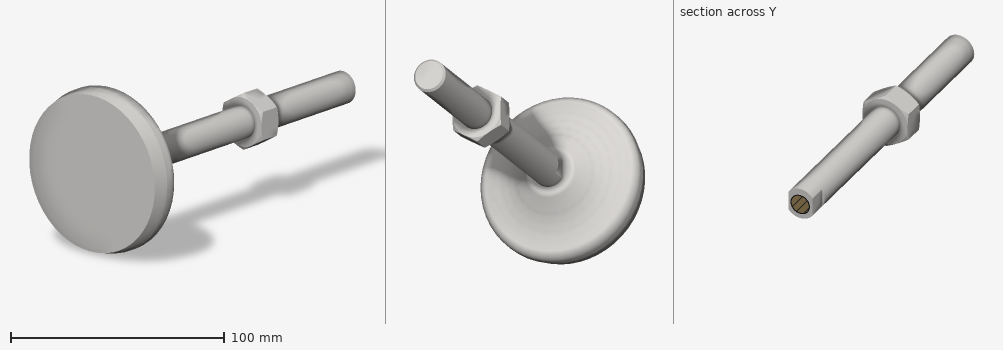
import cadquery as cq
import math

total_length = 185.0
pad_bottom = -total_length / 2

pad_radius = 40.0
pad_bottom_radius = 38.3
taper_height = 7.2
band_height = 10.7
rim_round = 4.3
flare_mid_radius = 19.8
flare_mid_height = 19.2
hub_radius = 12.4
hub_edge_height = 24.2
hub_height = 24.8
hub_top_radius = 10.5

neck_diameter = 10.0
stud_diameter = 16.0
stud_start = 25.7
stud_chamfer = 1.1
flats_width = 13.0
flats_length = 9.0

nut_start = 109.9
nut_thickness = 12.4
nut_across_flats = 24.0
nut_chamfer = 1.1


def disc(diameter, start, length):
    """Cylinder along +Y, starting at a height above the pad bottom."""
    cylinder = cq.Solid.makeCylinder(
        diameter / 2, length, cq.Vector(0, pad_bottom + start, 0), cq.Vector(0, 1, 0)
    )
    return cq.Workplane(obj=cylinder)


def make_pad():
    """Revolved pad: rounded hub, hollow flare, rounded rim, straight band and tapered foot."""
    rim_inner_radius = pad_radius - rim_round
    rim_mid_offset = rim_round * math.sqrt(0.5)
    rim_mid = (rim_inner_radius + rim_mid_offset, band_height + rim_mid_offset)
    profile = (
        cq.Workplane("XY", origin=(0, pad_bottom, 0))
        .lineTo(0, hub_height)
        .lineTo(hub_top_radius, hub_height)
        .tangentArcPoint((hub_radius, hub_edge_height), relative=False)
        .threePointArc(
            (flare_mid_radius, flare_mid_height),
            (rim_inner_radius, band_height + rim_round),
        )
        .threePointArc(rim_mid, (pad_radius, band_height))
        .lineTo(pad_radius, taper_height)
        .lineTo(pad_bottom_radius, 0)
        .close()
    )
    return profile.revolve(360, (0, 0, 0), (0, 1, 0))


def make_stud():
    """Round stud with a chamfered free end and two wrench flats facing +X and -X."""
    stud = disc(stud_diameter, stud_start, total_length - stud_start)
    stud = stud.faces(">Y").chamfer(stud_chamfer)
    flat_depth = (stud_diameter - flats_width) / 2
    flat_offset = (flats_width + flat_depth) / 2
    for side in (-1, 1):
        flat_cut = cq.Workplane("XY").box(flat_depth, flats_length, stud_diameter).translate(
            (side * flat_offset, pad_bottom + stud_start + flats_length / 2, 0)
        )
        stud = stud.cut(flat_cut)
    return stud


def make_nut():
    """Hexagon with flats facing +X and -X, its corners turned down at both ends."""
    across_corners = nut_across_flats / math.cos(math.pi / 6)
    hexagon = (
        cq.Workplane("XZ", origin=(0, pad_bottom + nut_start, 0))
        .transformed(rotate=(0, 0, 90))
        .polygon(6, across_corners)
        .extrude(-nut_thickness)
    )
    corner_depth = (across_corners - nut_across_flats) / 2
    turned_blank = disc(across_corners, nut_start, nut_thickness)
    for end in ("<Y", ">Y"):
        turned_blank = turned_blank.faces(end).chamfer(nut_chamfer, corner_depth)
    return hexagon.intersect(turned_blank)


neck = disc(neck_diameter, hub_edge_height, stud_start - hub_edge_height)
result = make_pad().union(neck).union(make_stud()).union(make_nut())